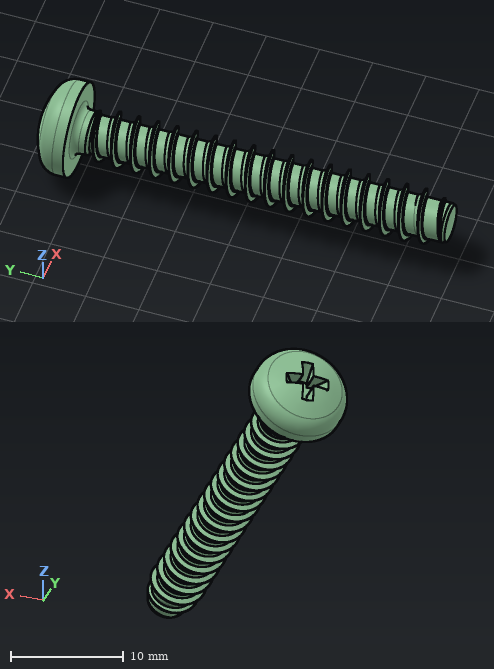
import cadquery as cq
import math


HEAD_RADIUS = 4.4
HEAD_RIM_HEIGHT = 1.04
DOME_APEX_HEIGHT = 3.475
DOME_EDGE_RADIUS = 3.5
DOME_EDGE_HEIGHT = 2.55

RECESS_RADIUS = 2.15
RECESS_BOTTOM_RADIUS = 1.0
RECESS_DEPTH = 2.0
RECESS_WING_WIDTH = 1.0

SHANK_LENGTH = 35.0
CORE_RADIUS = 1.825
COLLAR_RADIUS = 2.02
COLLAR_END = -1.27
COLLAR_TAPER_END = -1.6
NECK_FILLET_RADIUS = 0.65
TIP_RADIUS = 1.7
TIP_CONE_HEIGHT = 0.05
TIP_EDGE = TIP_CONE_HEIGHT - SHANK_LENGTH
TIP_CHAMFER_LENGTH = 0.3
TIP_CHAMFER_TOP = TIP_EDGE + TIP_CHAMFER_LENGTH

PITCH = 1.8
CREST_RADIUS = 2.5
THREAD_START_ANGLE = 90.0
THREAD_TURNS = 19.0
LEAD_IN_TURNS = 1.5
LEAD_IN_FRACTION = 0.1
RUN_OUT_TURNS = 1.25
RUN_OUT_FRACTION = 0.37
KNEE_RADIUS = 1.95
FOOT_RADIUS = 1.7
RIDGE_SECTION = [
    (FOOT_RADIUS, 0.98),
    (KNEE_RADIUS, 0.22),
    (CREST_RADIUS, 0.04),
    (CREST_RADIUS, -0.04),
    (KNEE_RADIUS, -0.18),
    (FOOT_RADIUS, -0.36),
]

TURN = 360.0
ORIGIN = cq.Vector(0, 0, 0)
AXIS_END = cq.Vector(0, 0, 1)


def revolve_profile(profile):
    """Solid of revolution about Z from an outline given as (radius, height) points."""
    return profile.close().revolve(TURN, (0, 0, 0), (0, 1, 0)).rotate((0, 0, 0), (1, 0, 0), 90)


def make_head():
    """Domed head: cylindrical rim, rounded shoulder and spherical cap."""
    inset = HEAD_RADIUS - DOME_EDGE_RADIUS
    rise = DOME_EDGE_HEIGHT - HEAD_RIM_HEIGHT
    shoulder_radius = (inset**2 + rise**2) / (2 * inset)
    sag = DOME_APEX_HEIGHT - DOME_EDGE_HEIGHT
    dome_radius = (DOME_EDGE_RADIUS**2 + sag**2) / (2 * sag)
    profile = (
        cq.Workplane("XY")
        .lineTo(HEAD_RADIUS, 0)
        .lineTo(HEAD_RADIUS, HEAD_RIM_HEIGHT)
        .radiusArc((DOME_EDGE_RADIUS, DOME_EDGE_HEIGHT), -shoulder_radius)
        .radiusArc((0, DOME_APEX_HEIGHT), -dome_radius)
    )
    return revolve_profile(profile)


def make_recess():
    """Cross-shaped tool recess whose four wings narrow towards the bottom."""
    floor = DOME_APEX_HEIGHT - RECESS_DEPTH
    span = 2 * RECESS_RADIUS
    wings = cq.Workplane("XY", origin=(0, 0, floor)).rect(span, RECESS_WING_WIDTH).extrude(RECESS_DEPTH)
    wings = wings.union(wings.rotate(ORIGIN, AXIS_END, TURN / 4))
    cone = revolve_profile(
        cq.Workplane("XY")
        .moveTo(0, floor)
        .lineTo(RECESS_BOTTOM_RADIUS, floor)
        .lineTo(RECESS_RADIUS, DOME_APEX_HEIGHT)
        .lineTo(0, DOME_APEX_HEIGHT)
    )
    return wings.intersect(cone)


def make_shank():
    """Core with a collar and fillet under the head and a shallow conical tip."""
    fillet = NECK_FILLET_RADIUS
    profile = (
        cq.Workplane("XY")
        .moveTo(0, HEAD_RIM_HEIGHT)
        .lineTo(0, -SHANK_LENGTH)
        .lineTo(TIP_RADIUS, TIP_EDGE)
        .lineTo(CORE_RADIUS, TIP_CHAMFER_TOP)
        .lineTo(CORE_RADIUS, COLLAR_TAPER_END)
        .lineTo(COLLAR_RADIUS, COLLAR_END)
        .lineTo(COLLAR_RADIUS, -fillet)
        .radiusArc((COLLAR_RADIUS + fillet, 0), fillet)
        .lineTo(COLLAR_RADIUS + fillet, HEAD_RIM_HEIGHT)
    )
    return revolve_profile(profile)


def helix_edge(start_turn, end_turn, start_radius, end_radius, axial_shift):
    """Right-hand helix, conical if the radii differ; turn 0 is the lower end of the thread."""
    height = (end_turn - start_turn) * PITCH
    slope = math.atan((end_radius - start_radius) / height)
    slant = 1 / math.cos(slope)
    cone_angle = math.degrees(slope) if slope else TURN
    wire = cq.Wire.makeHelix(PITCH * slant, height * slant, start_radius, angle=cone_angle)
    wire = wire.rotate(ORIGIN, AXIS_END, THREAD_START_ANGLE + start_turn * TURN)
    bottom = start_turn * PITCH + axial_shift - SHANK_LENGTH
    return wire.translate(cq.Vector(0, 0, bottom)).Edges()[0]


def flattened(radius, fraction):
    """Radius of a ridge point when only the given fraction of its height above the foot is left."""
    return FOOT_RADIUS + (radius - FOOT_RADIUS) * fraction


def make_ridge(start_turn, end_turn, start_fraction, end_fraction):
    """Stretch of thread ridge with the given fraction of its full height at each end."""
    helices = []
    for radius, shift in RIDGE_SECTION:
        start_radius = flattened(radius, start_fraction)
        end_radius = flattened(radius, end_fraction)
        helices.append(helix_edge(start_turn, end_turn, start_radius, end_radius, shift))
    faces = [
        cq.Face.makeRuledSurface(helix, next_helix)
        for helix, next_helix in zip(helices, helices[1:] + helices[:1])
    ]
    for at_end in (0, 1):
        corners = [helix.positionAt(at_end) for helix in helices]
        faces.append(cq.Face.makeFromWires(cq.Wire.makePolygon(corners, close=True)))
    return cq.Workplane(cq.Solid.makeSolid(cq.Shell.makeShell(faces)))


def make_tip_clearance():
    """Space beyond the tip chamfer and tip face, which the start of the thread must not enter."""
    beyond_tip = -SHANK_LENGTH - PITCH
    profile = (
        cq.Workplane("XY")
        .moveTo(0, -SHANK_LENGTH)
        .lineTo(TIP_RADIUS, TIP_EDGE)
        .lineTo(CORE_RADIUS, TIP_CHAMFER_TOP)
        .lineTo(CREST_RADIUS, TIP_CHAMFER_TOP)
        .lineTo(CREST_RADIUS, beyond_tip)
        .lineTo(0, beyond_tip)
    )
    return revolve_profile(profile)


def make_thread_stretches():
    """Lead-in at the tip, full-height thread and run-out below the head."""
    full_end = THREAD_TURNS - RUN_OUT_TURNS
    lead_in = make_ridge(0, LEAD_IN_TURNS, LEAD_IN_FRACTION, 1)
    full = make_ridge(LEAD_IN_TURNS, full_end, 1, 1)
    run_out = make_ridge(full_end, THREAD_TURNS, 1, RUN_OUT_FRACTION)
    return lead_in.cut(make_tip_clearance()), full, run_out


body = make_shank()
for stretch in make_thread_stretches():
    body = body.union(stretch)
body = body.union(make_head()).cut(make_recess())
result = body.rotate((0, 0, 0), (1, 0, 0), -90)